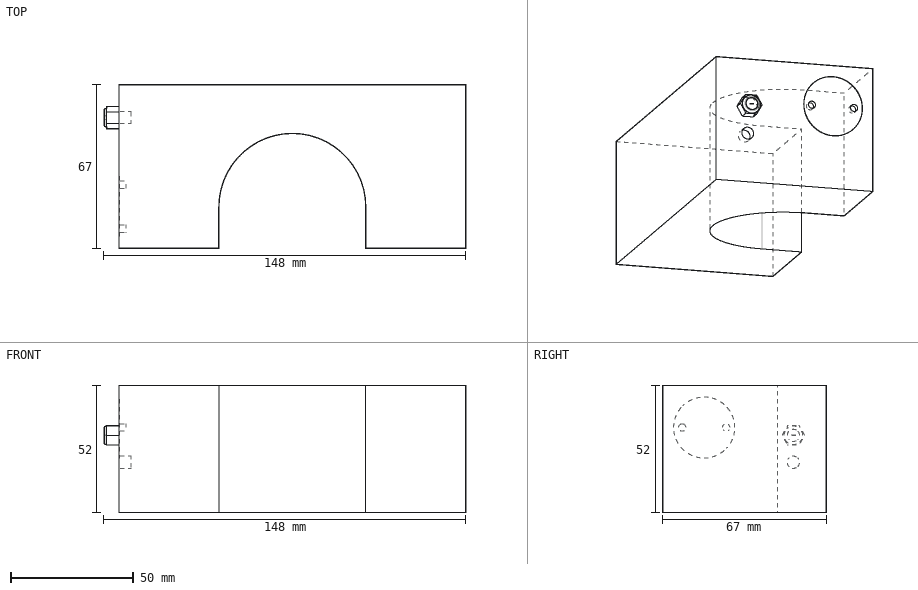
import cadquery as cq
import math

block_length = 142.0
block_depth = 67.0
block_height = 52.0
left_face_x = -block_length / 2

slot_width = 60.0
slot_radius = slot_width / 2
slot_centre_y = 17.0

gland_to_back = 13.5
gland_y = block_depth - gland_to_back
gland_z = 31.6
gland_length = 6.0
hex_length = 5.0
hex_sides = 6
hex_across_flats = 8.0
hex_across_corners = hex_across_flats / math.cos(math.pi / hex_sides)

collar_diameter = 7.6
collar_rounding = 0.8
bore_diameter = 5.0
bore_depth = 0.2
slit_length = 1.6
slit_width = 0.2
slit_depth = 0.2

indicator_diameter = 5.0
indicator_drop = 11.0
indicator_z = gland_z - indicator_drop
indicator_depth = 5.0

cover_diameter = 25.0
cover_y = slot_centre_y
cover_z = 34.8
cover_recess = 0.3
spanner_hole_diameter = 3.0
spanner_hole_spacing = 18.0
spanner_hole_depth = 3.0


def left_face_plane(y, z, direction):
    """Plane on the left face at (y, z); direction is +1 into the block, -1 out of it."""
    return cq.Plane(origin=(left_face_x, y, z), xDir=(0, 1, 0), normal=(direction, 0, 0))


def blind_hole(y, z, diameter, depth):
    """Cylinder that cuts a blind round hole into the left face."""
    return cq.Workplane(left_face_plane(y, z, 1)).circle(diameter / 2).extrude(depth)


def slotted_block():
    """Block with the round-ended slot cut through it."""
    half_length = block_length / 2
    return (
        cq.Workplane("XY")
        .moveTo(-half_length, 0)
        .lineTo(-slot_radius, 0)
        .lineTo(-slot_radius, slot_centre_y)
        .threePointArc((0, slot_centre_y + slot_radius), (slot_radius, slot_centre_y))
        .lineTo(slot_radius, 0)
        .lineTo(half_length, 0)
        .lineTo(half_length, block_depth)
        .lineTo(-half_length, block_depth)
        .close()
        .extrude(block_height)
    )


def cable_gland():
    """Hexagon, corners along Y, with a rounded collar whose end has a shallow bore and a slit."""
    base = cq.Workplane(left_face_plane(gland_y, gland_z, -1))
    hexagon = base.polygon(hex_sides, hex_across_corners).extrude(hex_length)
    collar = base.circle(collar_diameter / 2).extrude(gland_length).faces("<X").edges().fillet(collar_rounding)
    bore_floor = gland_length - bore_depth
    bore = base.workplane(offset=bore_floor).circle(bore_diameter / 2).extrude(bore_depth)
    slit = base.workplane(offset=bore_floor - slit_depth).rect(slit_length, slit_width).extrude(slit_depth)
    return hexagon.union(collar).cut(bore).cut(slit)


result = slotted_block().union(cable_gland())
result = result.cut(blind_hole(gland_y, indicator_z, indicator_diameter, indicator_depth))
result = result.cut(blind_hole(cover_y, cover_z, cover_diameter, cover_recess))
for side in (-1, 1):
    hole_y = cover_y + side * spanner_hole_spacing / 2
    result = result.cut(blind_hole(hole_y, cover_z, spanner_hole_diameter, spanner_hole_depth))